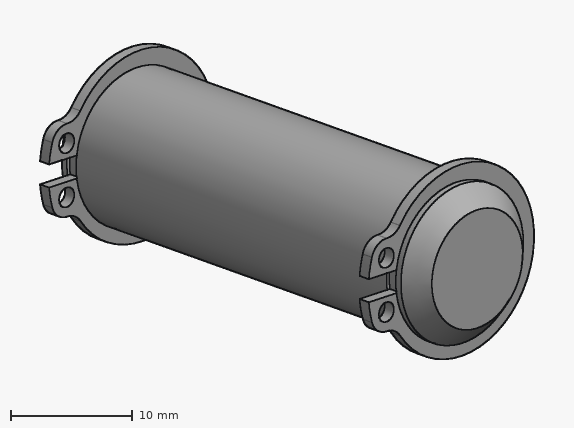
import cadquery as cq
import math

pin_length = 44.0
pin_diameter = 14.0
end_chamfer = 1.8

groove_diameter = 13.38
ring_thickness = 1.1
ring_inset = 2.4
ring_radius = 8.425
ring_offset = 0.4

gap_width = 2.02
hole_diameter = 1.7
hole_height = 2.38
lug_radius = 1.7
tip_radius = 10.1
neck_radius = 1.75

hole_distance = tip_radius - lug_radius
hole_y = -math.sqrt(hole_distance**2 - hole_height**2)


def point_towards(start, end, distance):
    """Point at the given distance from start on the line to end."""
    length = math.dist(start, end)
    return tuple(s + (e - s) * distance / length for s, e in zip(start, end))


def circle_midpoint(center, radius, start, end):
    """Middle of the shorter arc between two points of a circle."""
    chord_middle = tuple((s + e) / 2 for s, e in zip(start, end))
    return point_towards(center, chord_middle, radius)


def mirrored(point):
    return (point[0], -point[1])


def neck_center(ring_center, lug_center):
    """Centre of the blend circle touching the ring and lug circles from outside."""
    to_ring = ring_radius + neck_radius
    to_lug = lug_radius + neck_radius
    span = math.dist(ring_center, lug_center)
    along = (to_ring**2 - to_lug**2 + span**2) / (2 * span)
    across = math.sqrt(to_ring**2 - along**2)
    foot = point_towards(ring_center, lug_center, along)
    dir_y = (lug_center[0] - ring_center[0]) / span
    dir_z = (lug_center[1] - ring_center[1]) / span
    return (foot[0] + across * dir_z, foot[1] - across * dir_y)


def make_ring(start_x):
    """Retaining ring whose lower-X face lies at start_x."""
    axis = (0.0, 0.0)
    ring_center = (ring_offset, 0.0)
    lug_center = (hole_y, hole_height)
    neck = neck_center(ring_center, lug_center)

    ring_end = point_towards(ring_center, neck, ring_radius)
    lug_start = point_towards(lug_center, neck, lug_radius)
    lug_end = point_towards(axis, lug_center, tip_radius)
    tip_end = (-math.sqrt(tip_radius**2 - (gap_width / 2) ** 2), gap_width / 2)

    neck_middle = circle_midpoint(neck, neck_radius, ring_end, lug_start)
    lug_middle = circle_midpoint(lug_center, lug_radius, lug_start, lug_end)
    tip_middle = circle_midpoint(axis, tip_radius, lug_end, tip_end)
    back = (ring_offset + ring_radius, 0.0)

    ring = (
        cq.Workplane("YZ", origin=(start_x, 0, 0))
        .moveTo(*tip_end)
        .threePointArc(tip_middle, lug_end)
        .threePointArc(lug_middle, lug_start)
        .threePointArc(neck_middle, ring_end)
        .threePointArc(back, mirrored(ring_end))
        .threePointArc(mirrored(neck_middle), mirrored(lug_start))
        .threePointArc(mirrored(lug_middle), mirrored(lug_end))
        .threePointArc(mirrored(tip_middle), mirrored(tip_end))
        .close()
        .extrude(ring_thickness)
    )
    face = cq.Workplane("YZ", origin=(start_x, 0, 0))
    bore = face.circle(groove_diameter / 2).extrude(ring_thickness)
    gap = face.center(-tip_radius / 2, 0).rect(tip_radius, gap_width).extrude(ring_thickness)
    holes = (
        face.pushPoints([lug_center, mirrored(lug_center)])
        .circle(hole_diameter / 2)
        .extrude(ring_thickness)
    )
    return ring.cut(bore).cut(gap).cut(holes)


def make_groove(start_x):
    """Annular cutter for the groove holding one ring."""
    return (
        cq.Workplane("YZ", origin=(start_x, 0, 0))
        .circle(pin_diameter / 2)
        .circle(groove_diameter / 2)
        .extrude(ring_thickness)
    )


result = (
    cq.Workplane("YZ", origin=(-pin_length / 2, 0, 0))
    .circle(pin_diameter / 2)
    .extrude(pin_length)
    .faces("<X or >X")
    .chamfer(end_chamfer)
)

left_ring_x = -pin_length / 2 + ring_inset
right_ring_x = pin_length / 2 - ring_inset - ring_thickness
for ring_x in (left_ring_x, right_ring_x):
    result = result.cut(make_groove(ring_x)).union(make_ring(ring_x))